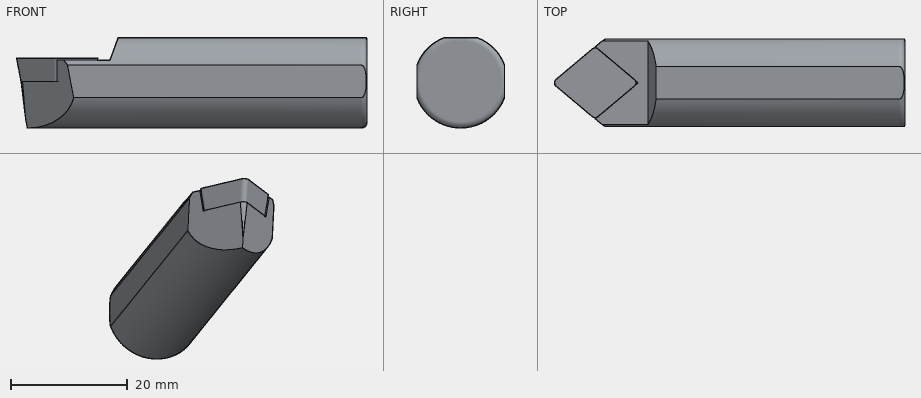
import cadquery as cq
import math

TOTAL_LENGTH = 60.0
SHANK_RADIUS = 8.0
FLAT_DISTANCE = 7.5
REAR_FILLET = 1.0

INSERT_THICKNESS = 3.97
INSCRIBED_DIAMETER = 9.525
NOSE_HALF_ANGLE = 40.0
RELIEF_ANGLE = 7.0
NOSE_RADIUS = 0.8

SEAT_HEIGHT = 3.65
SEAT_LENGTH = 16.0
SEAT_WALL_LEAN = 20.0

MARGIN = 5.0

sin_half = math.sin(math.radians(NOSE_HALF_ANGLE))
tan_half = math.tan(math.radians(NOSE_HALF_ANGLE))
tan_relief = math.tan(math.radians(RELIEF_ANGLE))

half_diagonal = INSCRIBED_DIAMETER / 2 / sin_half
corner_to_arc_centre = NOSE_RADIUS / sin_half
corner_drift = tan_relief / sin_half

flank_stretch = math.hypot(1, tan_relief)
corner_stretch = math.hypot(1, corner_drift)
sharp_tip_x = NOSE_RADIUS * corner_stretch - corner_to_arc_centre * flank_stretch
insert_centre_x = sharp_tip_x + half_diagonal
rear_corner_x = insert_centre_x + half_diagonal


def tapered_rhombus(centre_x, half_length, top_z, depth):
    """Sharp rhombus at top_z, narrowing downward by the relief angle."""
    half_width = half_length * tan_half
    return (
        cq.Workplane("XY", origin=(centre_x, 0, top_z))
        .polyline([(-half_length, 0), (0, -half_width), (half_length, 0), (0, half_width)])
        .close()
        .extrude(-depth, taper=RELIEF_ANGLE)
    )


def make_insert():
    insert = tapered_rhombus(insert_centre_x, half_diagonal, INSERT_THICKNESS, INSERT_THICKNESS)
    return insert.edges("not(#Z)").fillet(NOSE_RADIUS)


def make_shank():
    bar = (
        cq.Workplane("YZ")
        .circle(SHANK_RADIUS)
        .extrude(TOTAL_LENGTH)
        .faces(">X")
        .edges()
        .fillet(REAR_FILLET)
    )
    flat_height = FLAT_DISTANCE + SHANK_RADIUS
    envelope = cq.Workplane("XY", origin=(0, 0, -SHANK_RADIUS)).box(
        TOTAL_LENGTH, 2 * FLAT_DISTANCE, flat_height, centered=(False, True, False)
    )
    return bar.intersect(envelope)


def make_seat_cut():
    """Space above the seat floor, ending at a leaning wall."""
    cut_top = FLAT_DISTANCE + MARGIN
    wall_run = (cut_top - SEAT_HEIGHT) * math.tan(math.radians(SEAT_WALL_LEAN))
    return (
        cq.Workplane("XZ")
        .polyline([
            (-MARGIN, SEAT_HEIGHT),
            (SEAT_LENGTH, SEAT_HEIGHT),
            (SEAT_LENGTH + wall_run, cut_top),
            (-MARGIN, cut_top),
        ])
        .close()
        .extrude(SHANK_RADIUS + MARGIN, both=True)
    )


def make_wedge():
    """Region behind the two relieved flanks, which continue those of the insert."""
    tip_x = sharp_tip_x - (FLAT_DISTANCE - INSERT_THICKNESS) * corner_drift
    half_length = TOTAL_LENGTH + MARGIN
    return tapered_rhombus(tip_x + half_length, half_length, FLAT_DISTANCE, FLAT_DISTANCE + SHANK_RADIUS)


def round_lower_nose(holder):
    """Replace the sharp edge below the insert with a cone tangent to both flanks."""
    sharp_bottom_x = sharp_tip_x + INSERT_THICKNESS * corner_drift
    arc_centre_x = sharp_bottom_x + corner_to_arc_centre
    cone_depth = NOSE_RADIUS / tan_relief
    tangent_x = arc_centre_x - NOSE_RADIUS * sin_half
    ahead_of_tangents = (
        cq.Workplane("XZ")
        .polyline([(-MARGIN, 0), (tangent_x, 0), (arc_centre_x, -cone_depth), (-MARGIN, -cone_depth)])
        .close()
        .extrude(NOSE_RADIUS, both=True)
    )
    cone = cq.Workplane(
        cq.Solid.makeCone(
            NOSE_RADIUS, 0, cone_depth, pnt=cq.Vector(arc_centre_x, 0, 0), dir=cq.Vector(0, 0, -1)
        )
    )
    return holder.cut(ahead_of_tangents).union(cone.intersect(ahead_of_tangents))


def make_pocket():
    """Sharp-cornered recess on the insert's rear flanks, open to the front."""
    half_length = 2 * half_diagonal
    return tapered_rhombus(
        rear_corner_x - half_length, half_length, INSERT_THICKNESS, INSERT_THICKNESS
    )


def make_holder():
    blank = make_shank().intersect(make_wedge())
    seated = blank.cut(make_seat_cut()).cut(make_pocket())
    return round_lower_nose(seated)


holder = make_holder()
insert = make_insert()

result = cq.Compound.makeCompound([holder.solids().val(), insert.solids().val()])